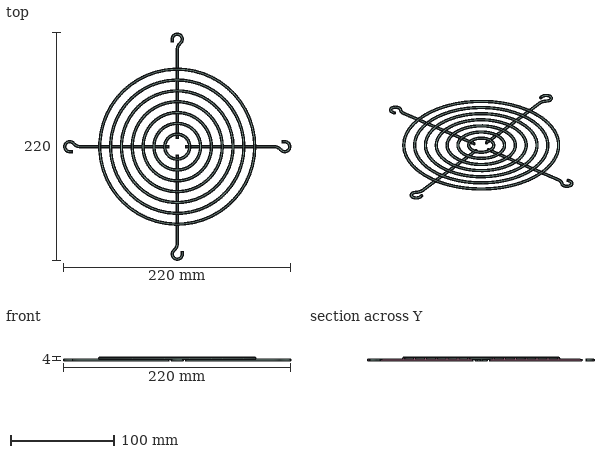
import cadquery as cq
import math

overall_span = 220.0
overall_height = 4.0
wire_diameter = 2.2
ring_count = 7
outer_ring_radius = 75.0
inner_ring_radius = 12.0
spoke_inner_end = 8.1
spoke_outer_end = 93.7
spoke_count = 4
hook_radius = 4.8
hook_tip_length = 2.6

ring_pitch = (outer_ring_radius - inner_ring_radius) / (ring_count - 1)
wire_radius = wire_diameter / 2
ring_height = overall_height - wire_diameter
hook_center_y = overall_span / 2 - wire_radius - hook_radius

neck_rise = hook_center_y - spoke_outer_end
neck_radius = (neck_rise**2 - hook_radius**2) / (2 * hook_radius)
neck_angle = math.atan2(neck_rise, neck_radius)


def ring(radius):
    """Closed ring of round wire resting partly embedded in the spokes."""
    return cq.Workplane(cq.Solid.makeTorus(radius, wire_radius, cq.Vector(0, 0, ring_height)))


def hooked_spoke():
    """Spoke along +Y, ending in an S-shaped neck and an open hook."""
    neck_middle = (
        neck_radius * (1 - math.cos(neck_angle / 2)),
        spoke_outer_end + neck_radius * math.sin(neck_angle / 2),
    )
    neck_end = (
        hook_radius * math.cos(neck_angle),
        hook_center_y - hook_radius * math.sin(neck_angle),
    )
    path = (
        cq.Workplane("XY")
        .moveTo(0, spoke_inner_end)
        .lineTo(0, spoke_outer_end)
        .threePointArc(neck_middle, neck_end)
        .threePointArc((0, hook_center_y + hook_radius), (-hook_radius, hook_center_y))
        .lineTo(-hook_radius, hook_center_y - hook_tip_length)
    )
    section = cq.Workplane("XZ", origin=(0, spoke_inner_end, 0)).circle(wire_radius)
    return section.sweep(path)


spoke = hooked_spoke()
result = spoke
for index in range(1, spoke_count):
    result = result.union(spoke.rotate((0, 0, 0), (0, 0, 1), index * 360 / spoke_count))

for index in range(ring_count):
    result = result.union(ring(outer_ring_radius - index * ring_pitch))